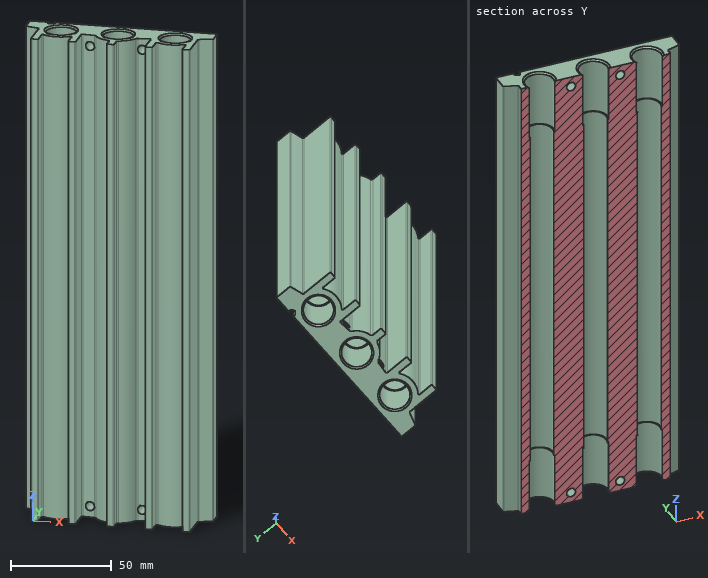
import cadquery as cq

length = 251.0
width = 95.6
depth = 29.0

edge_thickness = 9.0
crown_thickness = 16.8

bore_pitch = 29.0
bore_depth = 11.5
bore_diameter = 14.0
end_bore_diameter = 15.0
end_bore_depth = 30.0
bore_chamfer = 0.88
wall_radius = 11.5

rib_thickness = 3.8
rib_spacing = 19.0

edge_radius = 0.5
middle_root_radius = 1.0

groove_diameter = 3.5
groove_x = -36.6
groove_axis_depth = 0.63

hole_diameter = 4.5
hole_x = 13.3
hole_end_distance = 5.8

outer_rib_x = bore_pitch + rib_spacing / 2
inner_rib_x = bore_pitch - rib_spacing / 2
bore_positions = [-bore_pitch, 0.0, bore_pitch]
rib_positions = [-outer_rib_x, -inner_rib_x, 0.0, inner_rib_x, outer_rib_x]


def make_plate():
    """Flat-backed plate with an arched underside."""
    half_width = width / 2
    return (
        cq.Workplane("XY")
        .moveTo(-half_width, 0)
        .lineTo(half_width, 0)
        .lineTo(half_width, -edge_thickness)
        .threePointArc((0, -crown_thickness), (-half_width, -edge_thickness))
        .close()
        .extrude(length)
    )


def make_bar(x, top_depth, bottom_depth, thickness):
    """Full-length rectangular bar between two depths below the back face."""
    height = bottom_depth - top_depth
    return (
        cq.Workplane("XY")
        .center(x, -top_depth - height / 2)
        .rect(thickness, height)
        .extrude(length)
    )


def make_wall(x):
    """Round wall around the bore at x."""
    return cq.Workplane("XY").center(x, -bore_depth).circle(wall_radius).extrude(length)


def make_outer_wall(x):
    """Lower half of a round wall, ending inside the ribs on both sides."""
    return make_wall(x).intersect(make_bar(x, bore_depth, depth, rib_spacing))


def make_bore(x):
    """Lengthwise through bore, widened at both ends and with chamfered mouths."""
    bore_radius = bore_diameter / 2
    end_radius = end_bore_diameter / 2
    mouth_radius = end_radius + bore_chamfer
    profile = [
        (0, 0),
        (mouth_radius, 0),
        (end_radius, bore_chamfer),
        (end_radius, end_bore_depth),
        (bore_radius, end_bore_depth),
        (bore_radius, length - end_bore_depth),
        (end_radius, length - end_bore_depth),
        (end_radius, length - bore_chamfer),
        (mouth_radius, length),
        (0, length),
    ]
    bore = cq.Workplane("XZ").polyline(profile).close().revolve(360, (0, 0), (0, 1))
    return bore.translate((x, -bore_depth, 0))


result = make_plate().union(make_wall(0.0))
for x in (-bore_pitch, bore_pitch):
    result = result.union(make_outer_wall(x))
for x in rib_positions:
    result = result.union(make_bar(x, edge_thickness, depth, rib_thickness))

around_middle_wall = cq.selectors.BoxSelector(
    (-wall_radius, -bore_depth - wall_radius, -length),
    (wall_radius, -bore_depth, 2 * length),
)
result = result.edges("|Z").edges(around_middle_wall).fillet(middle_root_radius)

around_middle_wall_fillets = cq.selectors.BoxSelector(
    (-wall_radius - middle_root_radius, -bore_depth - wall_radius - middle_root_radius, -length),
    (wall_radius + middle_root_radius, -bore_depth, 2 * length),
)
result = result.edges("|Z").edges(-around_middle_wall_fillets).fillet(edge_radius)

for x in bore_positions:
    result = result.cut(make_bore(x))

groove = (
    cq.Workplane("XY")
    .center(groove_x, -groove_axis_depth)
    .circle(groove_diameter / 2)
    .extrude(length)
)
result = result.cut(groove)

hole_centers = [
    (x, z)
    for x in (-hole_x, hole_x)
    for z in (hole_end_distance, length - hole_end_distance)
]
holes = cq.Workplane("XZ").pushPoints(hole_centers).circle(hole_diameter / 2).extrude(depth)
result = result.cut(holes)